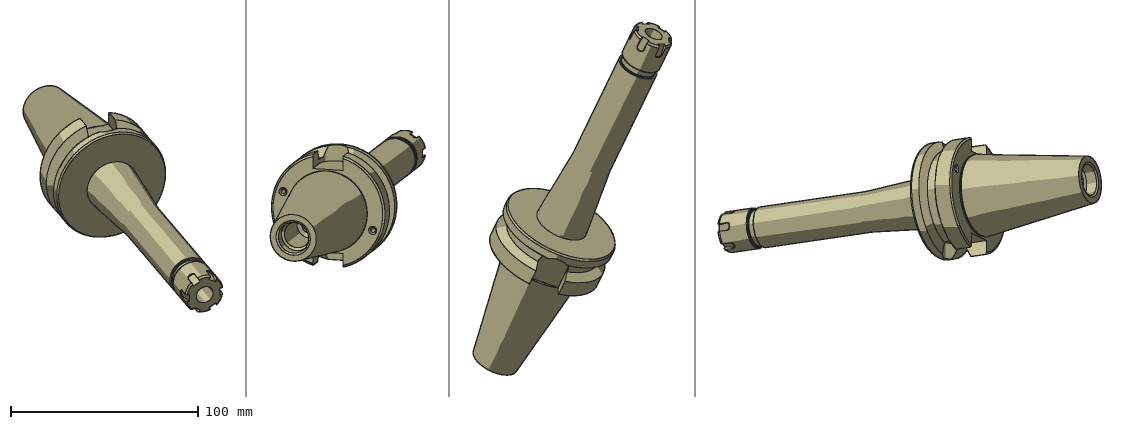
import cadquery as cq
import math


taper_small_radius = 12.8
gauge_radius = 22.3
gauge_x = 66.2
undercut_radius = 21.8
undercut_x = 66.8

flange_x = 67.5
flange_end_x = 92.5
flange_radius = 31.5
flange_chamfer = 0.7
flange_chamfer_width = 1.0
groove_radius = 26.5
groove_floor_start_x = 79.9
groove_floor_end_x = 84.5
groove_front_x = 77.0
groove_rear_x = 87.0

slot_width = 16.8
slot_floor_z = 22.7
slot_end_x = 88.7

face_hole_mouth_radius = 2.2
face_hole_mouth_depth = 0.7
face_hole_radius = 1.3
face_hole_circle_radius = 26.5
face_hole_depth = 7.7
face_hole_angle = 20

neck_radius = 14.3
neck_end_x = 93.8
shank_radius = 11.0
shank_x = 134.3
relief_x = 198.8
relief_radius = 9.7
relief_corner = 0.5

mouth_radius = 9.5
mouth_depth = 0.7
counterbore_radius = 8.4
counterbore_depth = 6.6
thread_radius = 7.0
thread_x = 7.7
thread_end_x = 32.0
bore_radius = 4.9
drill_tip_angle = 118
drill_half_angle = math.radians(drill_tip_angle / 2)

nut_x = 202.5
nut_end_x = 220.5
nut_radius = shank_radius
nut_rear_chamfer = 0.5
nut_front_chamfer = 0.7
nut_front_chamfer_length = 1.3
wrench_slot_count = 6
wrench_slot_width = 4.2
wrench_slot_x = 213.3
wrench_slot_floor_start_radius = 10.4
wrench_slot_floor_end_radius = 8.8
wrench_slot_corner_radius = 1.5


def revolve_about_x(points):
    """Solid of revolution about X from (x, radius) points."""
    return cq.Workplane("XY").polyline(points).close().revolve(360, (0, 0, 0), (1, 0, 0))


def make_holder_blank():
    return revolve_about_x([
        (0, 0),
        (0, taper_small_radius),
        (gauge_x, gauge_radius),
        (undercut_x, undercut_radius),
        (flange_x, undercut_radius),
        (flange_x, flange_radius - flange_chamfer_width),
        (flange_x + flange_chamfer, flange_radius),
        (groove_front_x, flange_radius),
        (groove_floor_start_x, groove_radius),
        (groove_floor_end_x, groove_radius),
        (groove_rear_x, flange_radius),
        (flange_end_x - flange_chamfer_width, flange_radius),
        (flange_end_x, flange_radius - flange_chamfer),
        (flange_end_x, neck_radius),
        (neck_end_x, neck_radius),
        (shank_x, shank_radius),
        (relief_x, shank_radius),
        (relief_x, relief_radius + relief_corner),
        (relief_x + relief_corner, relief_radius),
        (nut_x - relief_corner, relief_radius),
        (nut_x, relief_radius + relief_corner),
        (nut_x, 0),
    ])


def make_bore():
    tip_length = (thread_radius - bore_radius) / math.tan(drill_half_angle)
    return revolve_about_x([
        (0, 0),
        (0, mouth_radius),
        (mouth_depth, counterbore_radius),
        (counterbore_depth, counterbore_radius),
        (thread_x, thread_radius),
        (thread_end_x, thread_radius),
        (thread_end_x + tip_length, bore_radius),
        (nut_x, bore_radius),
        (nut_x, 0),
    ])


def make_drive_slot():
    """Round-ended cutter for the slot on the +Z side of the flange."""
    half_width = slot_width / 2
    arc_x = slot_end_x - half_width
    return (
        cq.Workplane("XY", origin=(0, 0, slot_floor_z))
        .moveTo(gauge_x, -half_width)
        .lineTo(arc_x, -half_width)
        .threePointArc((slot_end_x, 0), (arc_x, half_width))
        .lineTo(gauge_x, half_width)
        .close()
        .extrude(flange_radius)
    )


def make_face_hole():
    """Countersunk drilled hole with a conical tip on the +Y side of the flange."""
    tip_length = face_hole_radius / math.tan(drill_half_angle)
    hole = revolve_about_x([
        (flange_x, 0),
        (flange_x, face_hole_mouth_radius),
        (flange_x + face_hole_mouth_depth, face_hole_radius),
        (flange_x + face_hole_depth, face_hole_radius),
        (flange_x + face_hole_depth + tip_length, 0),
    ])
    return hole.translate((0, face_hole_circle_radius, 0))


def make_holder():
    holder = make_holder_blank().cut(make_bore())
    for half_turn in (0, 180):
        slot = make_drive_slot().rotate((0, 0, 0), (1, 0, 0), half_turn)
        hole = make_face_hole().rotate((0, 0, 0), (1, 0, 0), face_hole_angle + half_turn)
        holder = holder.cut(slot).cut(hole)
    return holder


def make_wrench_slot():
    """Cutter for the slot on the -Y side: rounded inner corners, floor sinking toward the nut end."""
    side_profile = [
        (wrench_slot_x, -wrench_slot_floor_start_radius),
        (nut_end_x, -wrench_slot_floor_end_radius),
        (nut_end_x, -2 * nut_radius),
        (wrench_slot_x, -2 * nut_radius),
    ]
    return (
        cq.Workplane("XY")
        .polyline(side_profile)
        .close()
        .extrude(wrench_slot_width / 2, both=True)
        .edges("|Y and <X")
        .fillet(wrench_slot_corner_radius)
    )


def make_nut():
    nut = revolve_about_x([
        (nut_x, bore_radius),
        (nut_x, nut_radius - nut_rear_chamfer),
        (nut_x + nut_rear_chamfer, nut_radius),
        (nut_end_x - nut_front_chamfer_length, nut_radius),
        (nut_end_x, nut_radius - nut_front_chamfer),
        (nut_end_x, bore_radius),
    ])
    for index in range(wrench_slot_count):
        angle = index * 360 / wrench_slot_count
        nut = nut.cut(make_wrench_slot().rotate((0, 0, 0), (1, 0, 0), angle))
    return nut


holder = make_holder()
nut = make_nut()

result = cq.Compound.makeCompound([holder.val(), nut.val()])